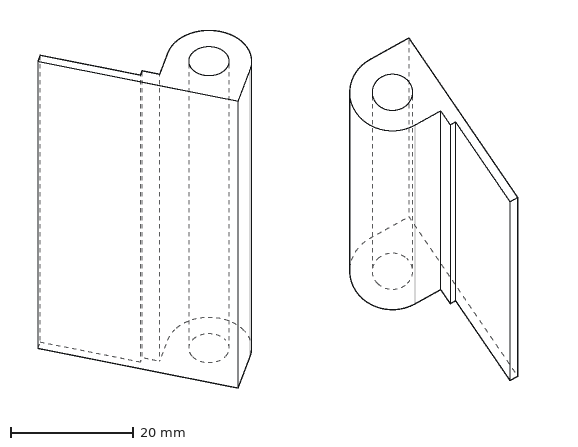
import cadquery as cq

length = 68.0
leaf_width = 34.0
leaf_thickness = 1.5

step_start = leaf_width / 2
step_height = 2.5

knuckle_radius = 7.0
knuckle_top = 14.5
pin_diameter = 6.6

knuckle_left = leaf_width - 2 * knuckle_radius
pin_x = leaf_width - knuckle_radius
pin_y = knuckle_top - knuckle_radius

profile = (
    cq.Workplane("XY")
    .lineTo(leaf_width, 0)
    .lineTo(leaf_width, pin_y)
    .threePointArc((pin_x, knuckle_top), (knuckle_left, pin_y))
    .lineTo(knuckle_left, step_height)
    .lineTo(step_start, step_height)
    .lineTo(step_start, leaf_thickness)
    .lineTo(0, leaf_thickness)
    .close()
)
hinge = profile.extrude(length)

pin = cq.Workplane("XY").center(pin_x, pin_y).circle(pin_diameter / 2).extrude(length)

result = hinge.cut(pin)